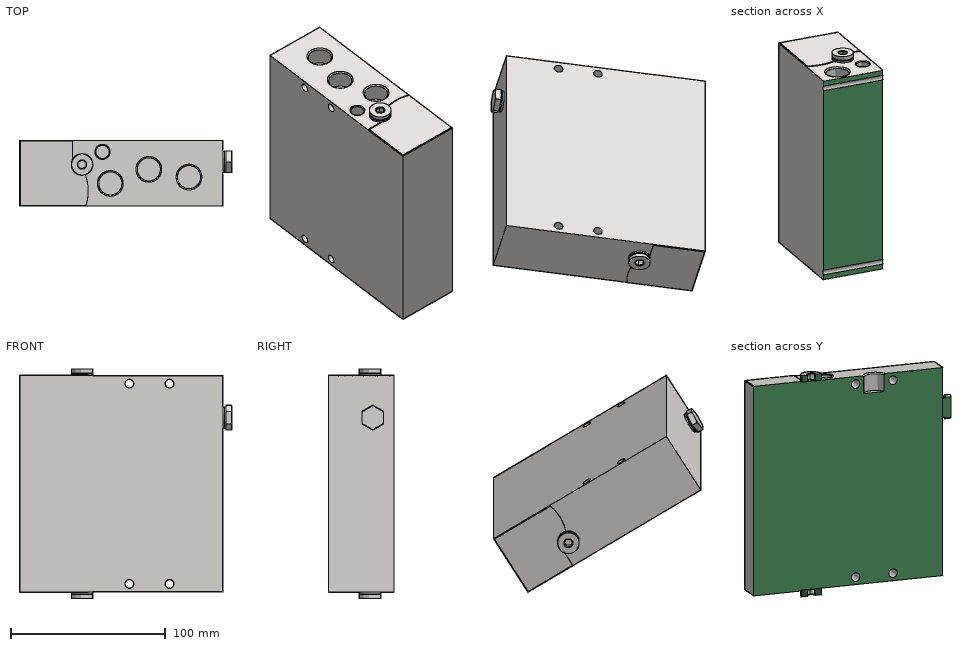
import cadquery as cq
import math

BLOCK_LENGTH = 131.5
BLOCK_DEPTH = 42.5
BLOCK_HEIGHT = 140.0
HALF_HEIGHT = BLOCK_HEIGHT / 2

PAD_RAISE = 0.5
PAD_CHAMFER = 0.49
PAD_BACK_X = 34.3
PAD_ARC_END_X = 42.8
PAD_ARC_BULGE = 1.6
PAD_ARC_LENGTH = 19.5

SCREW_X = 40.4
SCREW_Y = 26.95
SCREW_DIAMETER = 14.0
SCREW_HEIGHT = 4.35
SCREW_COLLAR_HEIGHT = 1.6
SCREW_COLLAR_CHAMFER = 0.4
SOCKET_FLATS = 5.0
SOCKET_DEPTH = 4.0
SOCKET_RIM_DIAMETER = 6.0

LARGE_PORTS = [(58.7, 14.7), (83.6, 23.8), (109.6, 18.8)]
LARGE_PORT_DIAMETER = 14.95
LARGE_PORT_RIM_DIAMETER = 16.66
LARGE_PORT_DEPTH = 12.0
SMALL_PORT = (53.6, 35.1)
SMALL_PORT_DIAMETER = 8.57
SMALL_PORT_RIM_DIAMETER = 9.73
SMALL_PORT_DEPTH = 8.0

MOUNT_DIAMETER = 5.5
MOUNT_FIRST_X = 71.0
MOUNT_SPACING = 26.0
MOUNT_COLUMNS = 2
MOUNT_EDGE_DISTANCE = 5.2

PLUG_Y = 28.7
PLUG_Z = 42.8
PLUG_LENGTH = 5.84
PLUG_NECK_LENGTH = 1.1
PLUG_NECK_DIAMETER = 13.6
PLUG_COLLAR_DIAMETER = 14.0
PLUG_COLLAR_LENGTH = 0.9
PLUG_HEX_FLATS = 14.0
PLUG_HEX_CHAMFER = 0.5

HEX_TURN = 30
HEX_SIDES = 6


def hexagon_corners(flats):
    """Corner-to-corner size of a hexagon from its size across flats."""
    return flats / math.cos(math.pi / HEX_SIDES)


def make_pad():
    """Raised pad on the top face, with a round notch in which its screw sits."""
    plate = (
        cq.Workplane("XY", origin=(0, 0, HALF_HEIGHT))
        .lineTo(PAD_ARC_END_X, 0)
        .threePointArc(
            (PAD_ARC_END_X + PAD_ARC_BULGE, PAD_ARC_LENGTH / 2),
            (PAD_ARC_END_X, PAD_ARC_LENGTH),
        )
        .lineTo(SCREW_X, SCREW_Y)
        .lineTo(PAD_BACK_X, SCREW_Y)
        .lineTo(PAD_BACK_X, BLOCK_DEPTH)
        .lineTo(0, BLOCK_DEPTH)
        .close()
        .extrude(PAD_RAISE)
    )
    plate = plate.faces(">Z").edges("<X or <Y or >Y").chamfer(PAD_CHAMFER)
    notch = (
        cq.Workplane("XY", origin=(SCREW_X, SCREW_Y, HALF_HEIGHT))
        .circle(SCREW_DIAMETER / 2)
        .extrude(PAD_RAISE)
    )
    return plate.cut(notch)


def make_port(place, diameter, rim_diameter, depth):
    """Cutter for a blind port with a 45 degree countersink at the top face."""
    rim_depth = (rim_diameter - diameter) / 2
    bore = cq.Workplane("XY", origin=(*place, HALF_HEIGHT)).circle(diameter / 2).extrude(-depth)
    rim = cq.Solid.makeCone(
        diameter / 2, rim_diameter / 2, rim_depth, cq.Vector(*place, HALF_HEIGHT - rim_depth)
    )
    return bore.union(cq.Workplane(rim))


def make_block():
    """Block with its two pads, ports and mounting holes."""
    block = cq.Workplane("XY", origin=(0, 0, -HALF_HEIGHT)).box(
        BLOCK_LENGTH, BLOCK_DEPTH, BLOCK_HEIGHT, centered=False
    )
    pad = make_pad()
    block = block.union(pad).union(pad.mirror("XY"))

    for place in LARGE_PORTS:
        block = block.cut(
            make_port(place, LARGE_PORT_DIAMETER, LARGE_PORT_RIM_DIAMETER, LARGE_PORT_DEPTH)
        )
    block = block.cut(
        make_port(SMALL_PORT, SMALL_PORT_DIAMETER, SMALL_PORT_RIM_DIAMETER, SMALL_PORT_DEPTH)
    )

    mount_z = HALF_HEIGHT - MOUNT_EDGE_DISTANCE
    mount_columns = [MOUNT_FIRST_X + i * MOUNT_SPACING for i in range(MOUNT_COLUMNS)]
    mounts = (
        cq.Workplane("XZ")
        .pushPoints([(x, z) for x in mount_columns for z in (-mount_z, mount_z)])
        .circle(MOUNT_DIAMETER / 2)
        .extrude(-BLOCK_DEPTH)
    )
    return block.cut(mounts)


def make_screw():
    """Upper screw: a collar and a head with a hexagon socket."""
    screw_top = HALF_HEIGHT + SCREW_HEIGHT
    collar = (
        cq.Workplane("XY", origin=(SCREW_X, SCREW_Y, HALF_HEIGHT))
        .circle(SCREW_DIAMETER / 2)
        .extrude(SCREW_COLLAR_HEIGHT)
        .faces(">Z")
        .chamfer(SCREW_COLLAR_CHAMFER)
    )
    head = (
        cq.Workplane("XY", origin=(SCREW_X, SCREW_Y, HALF_HEIGHT + SCREW_COLLAR_HEIGHT))
        .circle(SCREW_DIAMETER / 2)
        .extrude(SCREW_HEIGHT - SCREW_COLLAR_HEIGHT)
    )
    socket = (
        cq.Workplane("XY", origin=(SCREW_X, SCREW_Y, screw_top))
        .transformed(rotate=(0, 0, HEX_TURN))
        .polygon(HEX_SIDES, hexagon_corners(SOCKET_FLATS))
        .extrude(-SOCKET_DEPTH)
    )
    rim_depth = (SOCKET_RIM_DIAMETER - SOCKET_FLATS) / 2
    rim = cq.Solid.makeCone(
        SOCKET_FLATS / 2, SOCKET_RIM_DIAMETER / 2, rim_depth,
        cq.Vector(SCREW_X, SCREW_Y, screw_top - rim_depth),
    )
    return collar.union(head).cut(socket).cut(cq.Workplane(rim))


def make_plug():
    """Neck, sealing collar and hexagon head, stacked along X from the right face."""

    def section(start):
        return cq.Workplane("YZ", origin=(BLOCK_LENGTH + start, PLUG_Y, PLUG_Z))

    hex_start = PLUG_NECK_LENGTH + PLUG_COLLAR_LENGTH
    hex_length = PLUG_LENGTH - hex_start
    corners = hexagon_corners(PLUG_HEX_FLATS)
    neck = section(0).circle(PLUG_NECK_DIAMETER / 2).extrude(PLUG_NECK_LENGTH)
    collar = section(PLUG_NECK_LENGTH).circle(PLUG_COLLAR_DIAMETER / 2).extrude(PLUG_COLLAR_LENGTH)
    envelope = section(hex_start).circle(corners / 2).extrude(hex_length)
    envelope = envelope.faces(">X").chamfer(PLUG_HEX_CHAMFER)
    hexagon = (
        section(hex_start).transformed(rotate=(0, 0, HEX_TURN)).polygon(HEX_SIDES, corners).extrude(hex_length)
    )
    return neck.union(collar).union(hexagon.intersect(envelope))


block = make_block()
upper_screw = make_screw()
lower_screw = upper_screw.mirror("XY")
plug = make_plug()

result = cq.Compound.makeCompound(
    [block.val(), upper_screw.val(), lower_screw.val(), plug.val()]
)